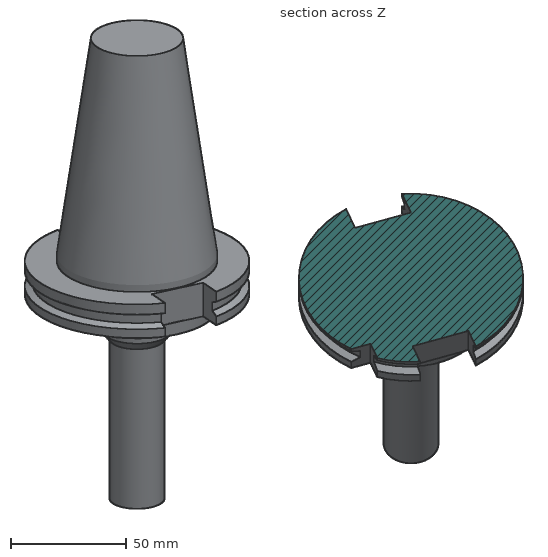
import cadquery as cq

total_height = 216.8
taper_length = 101.7
collar_height = 3.3
flange_height = 15.8
hub_height = 6.0
hub_cone_height = 4.5
neck_height = 6.0
neck_cone_height = 4.1

taper_diameter = 69.8
hub_diameter = 70.0
flange_diameter = 97.5
groove_diameter = 91.0
hub_cone_diameter = 40.3
neck_diameter = 31.0
shank_diameter = 24.0
taper_ratio = 7 / 24

groove_mouth_height = 7.0
groove_floor_height = 4.0
groove_offset = 8.2

slot_width = 25.5
left_slot_distance = 37.5
right_slot_distance = 35.5
notch_x = -30.0
notch_y = 29.7

taper_bottom = total_height - taper_length
flange_top = taper_bottom - collar_height
flange_bottom = flange_top - flange_height
hub_bottom = flange_bottom - hub_height
neck_top = hub_bottom - hub_cone_height
neck_bottom = neck_top - neck_height
shank_top = neck_bottom - neck_cone_height
groove_centre = flange_top - groove_offset

taper_end_diameter = taper_diameter - taper_length * taper_ratio


def turned_body():
    """Revolve the half section about Z, from the shank end upward."""
    steps = [
        (shank_diameter, 0),
        (shank_diameter, shank_top),
        (neck_diameter, neck_bottom),
        (neck_diameter, neck_top),
        (hub_cone_diameter, hub_bottom),
        (hub_diameter, hub_bottom),
        (hub_diameter, flange_bottom),
        (flange_diameter, flange_bottom),
        (flange_diameter, groove_centre - groove_mouth_height / 2),
        (groove_diameter, groove_centre - groove_floor_height / 2),
        (groove_diameter, groove_centre + groove_floor_height / 2),
        (flange_diameter, groove_centre + groove_mouth_height / 2),
        (flange_diameter, flange_top),
        (taper_diameter, flange_top),
        (taper_diameter, taper_bottom),
        (taper_end_diameter, total_height),
    ]
    outline = [(diameter / 2, height) for diameter, height in steps]
    section = cq.Workplane("XZ").polyline([(0, 0)] + outline + [(0, total_height)]).close()
    return section.revolve(360, (0, 0), (0, 1))


def flange_cutter(corner, size_x, size_y):
    """Box through the flange height, with its lowest X and Y at corner."""
    box = cq.Workplane("XY").box(size_x, size_y, flange_height, centered=False)
    return box.translate((corner[0], corner[1], flange_bottom))


reach = flange_diameter / 2
left_slot = flange_cutter((-left_slot_distance - reach, -slot_width / 2), reach, slot_width)
right_slot = flange_cutter((right_slot_distance, -slot_width / 2), reach, slot_width)
notch = flange_cutter((notch_x - reach, notch_y), reach, reach)

result = turned_body().cut(left_slot).cut(right_slot).cut(notch)